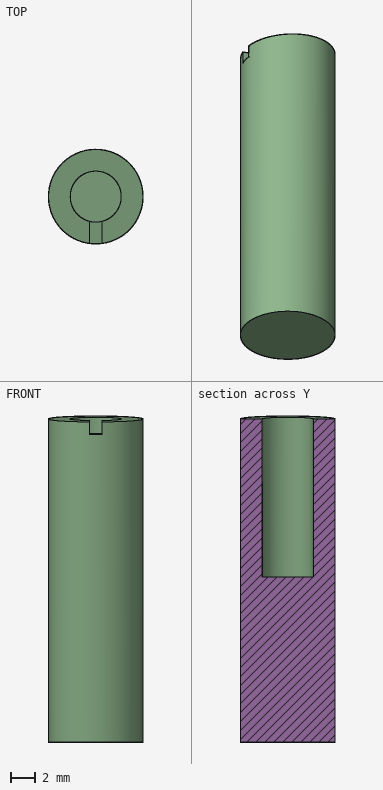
import cadquery as cq

outer_diameter = 7.8
back_height = 26.87
front_height = 26.37
bore_diameter = 4.2
bore_depth = 13.0
slot_width = 1.05
slot_depth = 1.05

outer_radius = outer_diameter / 2
axis_height = (back_height + front_height) / 2
slope = (back_height - front_height) / outer_diameter
clearance = 1.0


def height_at(y):
    """Height of the sloping top plane at a given Y."""
    return axis_height + slope * y


def volume_above_slope(y_start, y_end, width, drop):
    """Block centred on X, filling everything above a plane `drop` below the top face."""
    ceiling = back_height + clearance
    return (
        cq.Workplane("YZ")
        .moveTo(y_start, height_at(y_start) - drop)
        .lineTo(y_end, height_at(y_end) - drop)
        .lineTo(y_end, ceiling)
        .lineTo(y_start, ceiling)
        .close()
        .extrude(width / 2, both=True)
    )


def make_body():
    """Round pin with a flat bottom and a sloping top face."""
    reach = outer_radius + clearance
    blank = cq.Workplane("XY").circle(outer_radius).extrude(back_height + clearance)
    return blank.cut(volume_above_slope(-reach, reach, 2 * reach, 0))


def make_bore():
    """Blind central bore with a flat, level floor."""
    floor_height = axis_height - bore_depth
    return (
        cq.Workplane("XY", origin=(0, 0, floor_height))
        .circle(bore_diameter / 2)
        .extrude(bore_depth + clearance)
    )


def make_slot():
    """Radial slot through the front wall, its floor parallel to the top face."""
    return volume_above_slope(-outer_radius - clearance, 0, slot_width, slot_depth)


result = make_body().cut(make_bore()).cut(make_slot())